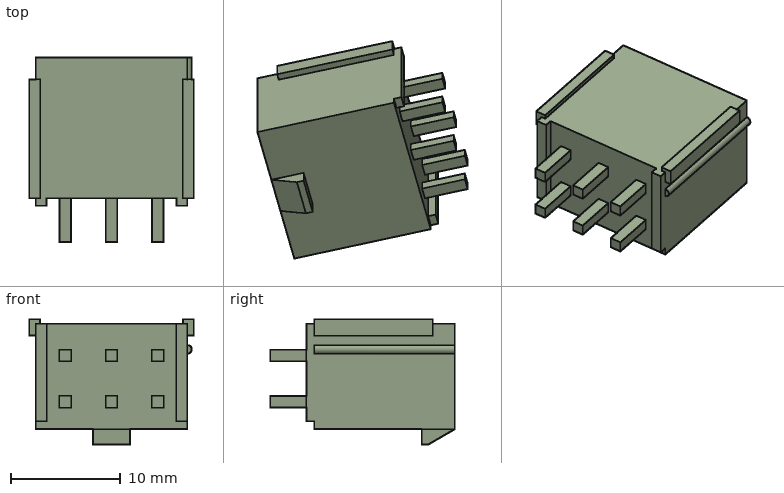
import cadquery as cq

HOUSING_WIDTH = 13.8
HOUSING_DEPTH = 12.8
HOUSING_HEIGHT = 9.6

RAIL_WIDTH = 1.0
RAIL_HEIGHT = 1.5
RAIL_SIDE_OVERHANG = 0.6
RAIL_TOP_OVERHANG = 0.4
RAIL_SETBACK = 2.0

STRIP_WIDTH = 1.0
STRIP_THICKNESS = 0.7
STRIP_BASE_HEIGHT = 0.7

PIN_SIZE = 1.07
PIN_LENGTH = 4.0
PIN_PITCH = 4.2
PIN_COLUMNS = 3
PIN_ROWS = 2
LOWER_PIN_HEIGHT = 2.5

LATCH_WIDTH = 3.4
LATCH_DROP = 1.4
LATCH_DEPTH = 3.03
LATCH_RAMP_DEPTH = 2.4

KEY_RADIUS = 0.4
KEY_BELOW_TOP = 2.35

PIN_FACE_Y = -HOUSING_DEPTH


def box_from_corner(x, y, z, width, depth, height):
    """Box spanning +X, +Y and +Z from its lowest corner."""
    return cq.Workplane("XY").box(width, depth, height, centered=False).translate((x, y, z))


def make_housing():
    return box_from_corner(
        -HOUSING_WIDTH / 2, PIN_FACE_Y, 0, HOUSING_WIDTH, HOUSING_DEPTH, HOUSING_HEIGHT
    )


def make_left_rail():
    return box_from_corner(
        -HOUSING_WIDTH / 2 - RAIL_SIDE_OVERHANG,
        PIN_FACE_Y,
        HOUSING_HEIGHT + RAIL_TOP_OVERHANG - RAIL_HEIGHT,
        RAIL_WIDTH,
        HOUSING_DEPTH - RAIL_SETBACK,
        RAIL_HEIGHT,
    )


def make_left_strip():
    return box_from_corner(
        -HOUSING_WIDTH / 2,
        PIN_FACE_Y - STRIP_THICKNESS,
        STRIP_BASE_HEIGHT,
        STRIP_WIDTH,
        STRIP_THICKNESS,
        HOUSING_HEIGHT - STRIP_BASE_HEIGHT,
    )


def make_pin(column, row):
    center_x = (column - (PIN_COLUMNS - 1) / 2) * PIN_PITCH
    center_z = LOWER_PIN_HEIGHT + row * PIN_PITCH
    return box_from_corner(
        center_x - PIN_SIZE / 2,
        PIN_FACE_Y - PIN_LENGTH,
        center_z - PIN_SIZE / 2,
        PIN_SIZE,
        PIN_LENGTH,
        PIN_SIZE,
    )


def make_latch():
    profile = [
        (0, 0),
        (-LATCH_RAMP_DEPTH, -LATCH_DROP),
        (-LATCH_DEPTH, -LATCH_DROP),
        (-LATCH_DEPTH, 0),
    ]
    return cq.Workplane("YZ").polyline(profile).close().extrude(LATCH_WIDTH / 2, both=True)


def make_key_rib():
    return (
        cq.Workplane("XZ")
        .center(HOUSING_WIDTH / 2, HOUSING_HEIGHT - KEY_BELOW_TOP)
        .circle(KEY_RADIUS)
        .extrude(HOUSING_DEPTH)
    )


result = make_housing().union(make_latch()).union(make_key_rib())

for left_feature in (make_left_rail(), make_left_strip()):
    result = result.union(left_feature).union(left_feature.mirror("YZ"))

for column in range(PIN_COLUMNS):
    for row in range(PIN_ROWS):
        result = result.union(make_pin(column, row))